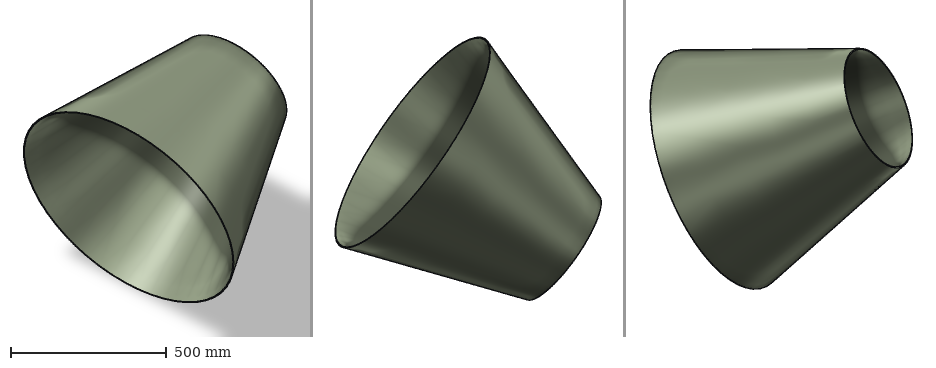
import cadquery as cq

large_diameter = 813.0
small_diameter = large_diameter / 2
length = 610.0
wall = 4.0

large_radius = large_diameter / 2
small_radius = small_diameter / 2

wall_section = [
    (large_radius - wall, 0),
    (large_radius, 0),
    (small_radius, length),
    (small_radius - wall, length),
]

result = (
    cq.Workplane("XY")
    .polyline(wall_section)
    .close()
    .revolve(360, (0, 0, 0), (0, 1, 0))
)